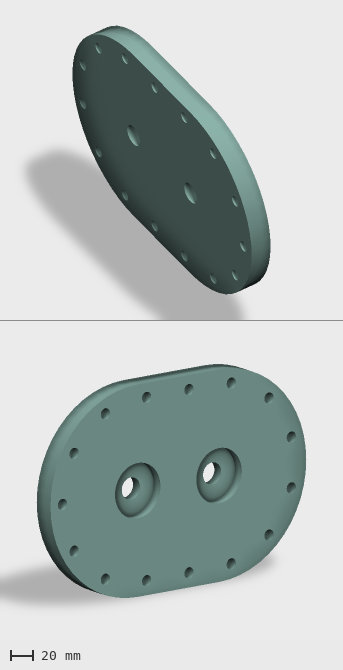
import cadquery as cq
import math

length = 281.7
height = 192.0
thickness = 20.0
center_hole_diameter = 20.0
seat_diameter = 50.0
bolt_hole_diameter = 10.0
bolt_count = 15
bolt_edge_distance = 13.2

end_radius = height / 2
seat_depth = thickness / 2
straight_length = length - height
half_straight = straight_length / 2
pitch_radius = end_radius - bolt_edge_distance
half_perimeter = straight_length + math.pi * pitch_radius


def upper_pitch_point(distance):
    """Point on the upper half of the bolt line, measured from its +X tip."""
    quarter_arc = math.pi * pitch_radius / 2
    if distance < quarter_arc:
        center_x = half_straight
        angle = distance / pitch_radius
    elif distance <= quarter_arc + straight_length:
        return half_straight - (distance - quarter_arc), pitch_radius
    else:
        center_x = -half_straight
        angle = (distance - straight_length) / pitch_radius
    return center_x + pitch_radius * math.cos(angle), pitch_radius * math.sin(angle)


def bolt_points():
    """Evenly spaced points along the bolt line, starting at the +X tip."""
    points = [upper_pitch_point(0)]
    spacing = 2 * half_perimeter / bolt_count
    for index in range(1, bolt_count // 2 + 1):
        x, z = upper_pitch_point(index * spacing)
        points += [(x, z), (x, -z)]
    return points


plate = cq.Workplane("XZ").slot2D(length, height).extrude(thickness / 2, both=True)

center_points = [(-half_straight, 0), (half_straight, 0)]
plate = plate.faces("<Y").workplane(origin=(0, 0, 0)).pushPoints(center_points).hole(center_hole_diameter)
seats = (
    cq.Workplane("XZ", origin=(0, thickness / 2, 0))
    .pushPoints(center_points)
    .circle(seat_diameter / 2)
    .extrude(seat_depth)
)
plate = plate.cut(seats)

result = plate.faces("<Y").workplane(origin=(0, 0, 0)).pushPoints(bolt_points()).hole(bolt_hole_diameter)